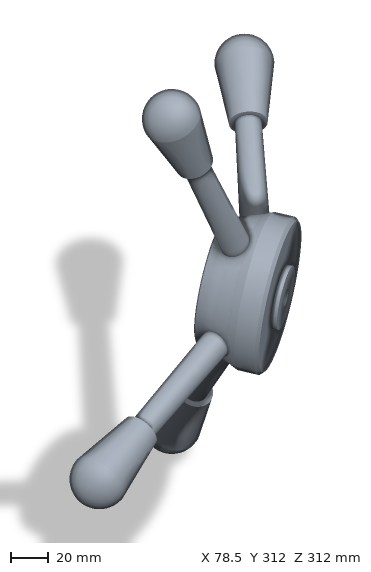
import cadquery as cq
import math

HUB_DIAMETER = 86.0
HUB_THICKNESS = 38.0
FACE_DIAMETER = 69.3
FACE_CHAMFER_LENGTH = 1.0
FACE_CHAMFER_DEPTH = 2.0
COLLAR_LENGTH = 4.7
COLLAR_DIAMETER = 71.5
CONE_END = 20.0
CONE_DIAMETER = 81.7
RIM_START = 25.0
BACK_CHAMFER = 2.0
BOSS_DIAMETER = 35.0
BOSS_HEIGHT = 3.0
BORE_DIAMETER = 10.0
RECESS_DIAMETER = 39.3
RECESS_FLOOR_DIAMETER = 36.2
RECESS_DEPTH = 3.0

SPOKE_COUNT = 4
SPOKE_LEAN = 19.0
SPOKE_ROOT_DIAMETER = 16.5
SPOKE_TIP_DIAMETER = 14.5
SPOKE_ROOT_RADIUS = 28.0
TIP_REACH = 156.0
KNOB_DIAMETER = 31.8
KNOB_BASE_DIAMETER = 20.5
KNOB_TAPER_LENGTH = 38.5
KNOB_FORWARD = 37.5

lean = math.radians(SPOKE_LEAN)
knob_radius = KNOB_DIAMETER / 2
knob_center_reach = TIP_REACH - knob_radius
knob_center_x = knob_radius - KNOB_FORWARD
spoke_length = (knob_center_reach - SPOKE_ROOT_RADIUS) / math.cos(lean)
spoke_root_x = knob_center_x + spoke_length * math.sin(lean)


def make_hub():
    """Revolve the hub, with its flared front, rear boss, recess and bore."""
    hub_radius = HUB_DIAMETER / 2
    face_radius = FACE_DIAMETER / 2
    boss_end = HUB_THICKNESS + BOSS_HEIGHT
    profile = (
        cq.Workplane("XY")
        .moveTo(RECESS_DEPTH, BORE_DIAMETER / 2)
        .lineTo(RECESS_DEPTH, RECESS_FLOOR_DIAMETER / 2)
        .lineTo(0, RECESS_DIAMETER / 2)
        .lineTo(0, face_radius - FACE_CHAMFER_DEPTH)
        .lineTo(FACE_CHAMFER_LENGTH, face_radius)
        .lineTo(COLLAR_LENGTH, COLLAR_DIAMETER / 2)
        .lineTo(CONE_END, CONE_DIAMETER / 2)
        .lineTo(RIM_START, hub_radius)
        .lineTo(HUB_THICKNESS - BACK_CHAMFER, hub_radius)
        .lineTo(HUB_THICKNESS, hub_radius - BACK_CHAMFER)
        .lineTo(HUB_THICKNESS, BOSS_DIAMETER / 2)
        .lineTo(boss_end, BOSS_DIAMETER / 2)
        .lineTo(boss_end, BORE_DIAMETER / 2)
        .close()
    )
    return profile.revolve(360, (0, 0, 0), (1, 0, 0))


def make_handle():
    """Revolve one spoke and knob about its own axis, then lean it forward."""
    knob_base = spoke_length - KNOB_TAPER_LENGTH
    dome_middle = knob_radius * math.sqrt(0.5)
    profile = (
        cq.Workplane("XZ")
        .lineTo(SPOKE_ROOT_DIAMETER / 2, 0)
        .lineTo(SPOKE_TIP_DIAMETER / 2, knob_base)
        .lineTo(KNOB_BASE_DIAMETER / 2, knob_base)
        .lineTo(knob_radius, spoke_length)
        .threePointArc((dome_middle, spoke_length + dome_middle), (0, spoke_length + knob_radius))
        .close()
    )
    handle = profile.revolve(360, (0, 0, 0), (0, 1, 0))
    leaned = handle.rotate((0, 0, 0), (0, 1, 0), -SPOKE_LEAN)
    return leaned.translate((spoke_root_x, 0, SPOKE_ROOT_RADIUS))


result = make_hub()
handle = make_handle()
for index in range(SPOKE_COUNT):
    angle = index * 360 / SPOKE_COUNT
    result = result.union(handle.rotate((0, 0, 0), (1, 0, 0), angle))